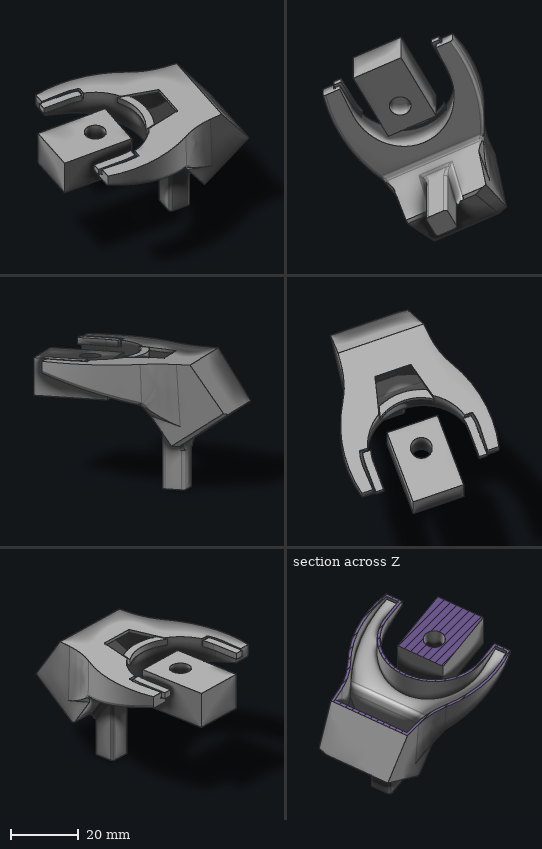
import cadquery as cq
import math

WALL = 1.0
TOO_BIG = 122.1

BACK_TILT = 55.0
TAIL_Y, TAIL_Z = 46.05, -15.1
ARM_END_Y, ARM_END_Z = -8.0, -3.9
BEND_Y, BEND_Z = 21.05, -12.65
BEND_RADIUS = 3.0
CAVITY_BEND_RADIUS = 4.95
TIP_FRONT_Z, TIP_BACK_Y = -25.2, 30.95

DRAFT = 1.5
SIDE_SLOPE = 0.095
STRAIGHT_BACK_HALF_WIDTH = 13.5
ARM_ARC_RADIUS = 40.3
ARM_HALF_WIDTH = 22.6
ARM_WIDEST_Y = 0.9
ARM_ROOT_Y = 30.5
FLARE_RADIUS = 25.05
ARM_EDGE_RADIUS = 1.0
PLAN_MARGIN = 1.95

FLARE_FACET = [(16.55, 21.4, -12.65), (13.25, 32.55, -18.9), (14.2, 23.3, -15.9)]
CAVITY_FACET = [(12.35, 34.55, -10.6), (12.7, 30.35, -12.7), (8.3, 37.8, -13.85)]

BEVEL_START_X = 9.35
BEVEL_WIDTH = 2.75
BEVEL_DEPTH = 0.9

LEG_HALF_WIDTH = 3.51
LEG_FRONT_Y, LEG_BACK_Y = 23.45, 30.6
LEG_BOTTOM_Z = -40.1
LEG_TOP_Z = -18.3
LEG_EDGE_RADIUS = 1.0
LEG_ROOT_RADIUS = 2.0
LEG_BACK_ROUND_TOP_Z = -28.1
ROOT_SLAB = 0.6

BORE_RADIUS = 16.0
PAD_INNER_RADIUS, PAD_OUTER_RADIUS = 15.0, 17.5
PAD_HEIGHT = 2.0
ARM_PAD_FRONT_Y, ARM_PAD_BACK_Y = -9.0, 3.85
ARM_PAD_GAP = 0.85
RECESS_END_HALF_WIDTH = 18.0
WINDOW_BACK_Y, WINDOW_BACK_HALF_WIDTH = 24.9, 5.6
WINDOW_FRONT_Y, WINDOW_FRONT_HALF_WIDTH = 13.8, 8.4
WINDOW_GAP = 0.3

BLOCK_WIDTH, BLOCK_LENGTH, BLOCK_HEIGHT = 15.95, 22.95, 11.4
BLOCK_FRONT_Y, BLOCK_TOP_Z = -15.0, -2.0
BLOCK_HOLE_RADIUS = 3.205

STEEP = math.tan(math.radians(BACK_TILT))
BACK_TOP_Y = TAIL_Y + TAIL_Z / STEEP
PLAN_BACK_Y = TAIL_Y + PLAN_MARGIN
PLAN_FRONT_Y = ARM_END_Y - PLAN_MARGIN


def near(*point):
    return cq.selectors.NearestToPointSelector(point)


def lower_front_z(y):
    """Height of the lower front face."""
    return BEND_Z - STEEP * (y - BEND_Y)


def lower_front_y(z):
    return BEND_Y - (z - BEND_Z) / STEEP


def bottom_z(y):
    """Height of the bottom face, which is square to the back face."""
    return TAIL_Z - (TAIL_Y - y) / STEEP


def straight_half_width(y):
    return STRAIGHT_BACK_HALF_WIDTH - SIDE_SLOPE * (y - BACK_TOP_Y)


def arm_half_width(y):
    center_x = ARM_HALF_WIDTH - ARM_ARC_RADIUS
    return center_x + math.sqrt(ARM_ARC_RADIUS**2 - (y - ARM_WIDEST_Y) ** 2)


def moved_inwards(outline, inset):
    return outline.offset2D(-inset, "intersection") if inset else outline



def profile_prism(inset, bend_radius):
    """Side profile of the fork, extruded along X."""
    points = [
        (ARM_END_Y, 0),
        (BACK_TOP_Y, 0),
        (TAIL_Y, TAIL_Z),
        (TIP_BACK_Y, bottom_z(TIP_BACK_Y)),
        (lower_front_y(TIP_FRONT_Z), TIP_FRONT_Z),
        (BEND_Y, BEND_Z),
        (ARM_END_Y, ARM_END_Z),
    ]
    outline = moved_inwards(cq.Workplane("YZ").polyline(points).close(), inset)
    prism = outline.extrude(TOO_BIG / 2, both=True)
    return prism.edges("|X").edges(near(0, BEND_Y, BEND_Z)).fillet(bend_radius)


def straight_column(inset):
    """Tapered and drafted plan of the rear part, extruded down."""
    back_x = straight_half_width(PLAN_BACK_Y)
    front_x = straight_half_width(ARM_END_Y)
    outline = cq.Workplane("XY").polyline(
        [(back_x, PLAN_BACK_Y), (front_x, ARM_END_Y), (-front_x, ARM_END_Y), (-back_x, PLAN_BACK_Y)]
    ).close()
    return moved_inwards(outline, inset).extrude(LEG_BOTTOM_Z, taper=DRAFT)


def arms_column(inset):
    """Plan of both arms, extruded down."""
    front_x = arm_half_width(PLAN_FRONT_Y)
    root_x = arm_half_width(ARM_ROOT_Y)
    outline = (
        cq.Workplane("XY")
        .moveTo(front_x, PLAN_FRONT_Y)
        .threePointArc((ARM_HALF_WIDTH, ARM_WIDEST_Y), (root_x, ARM_ROOT_Y))
        .lineTo(-root_x, ARM_ROOT_Y)
        .threePointArc((-ARM_HALF_WIDTH, ARM_WIDEST_Y), (-front_x, PLAN_FRONT_Y))
        .close()
    )
    return moved_inwards(outline, inset).extrude(LEG_BOTTOM_Z)


def flared_form(inset, bend_radius):
    """Rear part and arms with the concave rounds between them."""
    form = straight_column(inset).union(arms_column(inset))
    corner_y = (BEND_Y + ARM_ROOT_Y) / 2
    corner_x = straight_half_width(corner_y)
    for side in (1, -1):
        corner = near(side * corner_x, corner_y, LEG_BOTTOM_Z / 2)
        form = form.edges(corner).fillet(FLARE_RADIUS + inset)
    return form.intersect(profile_prism(inset, bend_radius))


def below_facet(corners):
    """Space under a sloped facet and its mirror image, behind the arms."""
    first, second, third = [cq.Vector(*corner) for corner in corners]
    downwards = (second - first).cross(third - first)
    if downwards.z > 0:
        downwards = -downwards
    plane = cq.Plane(origin=first, xDir=second - first, normal=downwards)
    space = cq.Workplane(plane).rect(TOO_BIG, TOO_BIG).extrude(TOO_BIG)
    behind_arm = cq.Workplane("XY", origin=(0, BEND_Y, 0)).box(
        TOO_BIG, TOO_BIG, TOO_BIG, centered=(False, False, True)
    )
    space = space.intersect(behind_arm)
    return space.union(space.mirror("YZ"))


def outer_form():
    form = flared_form(0, BEND_RADIUS)
    mid_arm_z = (ARM_END_Z + BEND_Z) / 2
    for side in (1, -1):
        form = form.edges(near(side * ARM_HALF_WIDTH, 0, mid_arm_z)).fillet(ARM_EDGE_RADIUS)
    straight = straight_column(0).intersect(profile_prism(0, BEND_RADIUS))
    return form.cut(below_facet(FLARE_FACET)).union(straight)



def slot(radius, height):
    """Round-ended slot about the bore axis, open towards -Y, from the top down."""
    return (
        cq.Workplane("XY")
        .moveTo(radius, 0)
        .threePointArc((0, radius), (-radius, 0))
        .lineTo(-radius, -TOO_BIG)
        .lineTo(radius, -TOO_BIG)
        .close()
        .extrude(-height)
    )


def cavity():
    """Hollow inside the fork, leaving a wall all around and along the bore."""
    hollow = flared_form(WALL, CAVITY_BEND_RADIUS).cut(below_facet(CAVITY_FACET))
    return hollow.cut(slot(BORE_RADIUS + WALL, TOO_BIG))


def leg_post():
    """Leg with all four upright edges rounded."""
    length = LEG_BACK_Y - LEG_FRONT_Y
    return (
        cq.Workplane("XY", origin=(0, LEG_FRONT_Y + length / 2, LEG_BOTTOM_Z))
        .rect(2 * LEG_HALF_WIDTH, length)
        .extrude(LEG_TOP_Z - LEG_BOTTOM_Z)
        .edges("|Z")
        .fillet(LEG_EDGE_RADIUS)
    )


def leg_root():
    """Leg, rounded into a slab that lies just inside the lower front face."""
    lower_front = cq.Workplane(
        cq.Plane(origin=(0, BEND_Y, BEND_Z), xDir=(1, 0, 0), normal=(0, STEEP, 1))
    )
    root_half_width = LEG_HALF_WIDTH + LEG_ROOT_RADIUS
    slab = lower_front.rect(4 * root_half_width, TOO_BIG).extrude(ROOT_SLAB)

    raw_length = 24.4
    raw_leg = (
        cq.Workplane("XY", origin=(0, LEG_FRONT_Y + raw_length / 2, LEG_TOP_Z))
        .box(2 * LEG_HALF_WIDTH, raw_length, TOO_BIG)
        .cut(lower_front.rect(TOO_BIG, TOO_BIG).extrude(TOO_BIG))
    )
    middle_y = LEG_FRONT_Y + raw_length / 2
    joint = near(0, LEG_FRONT_Y, lower_front_z(LEG_FRONT_Y))
    for side in (1, -1):
        joint = joint + near(side * LEG_HALF_WIDTH, middle_y, lower_front_z(middle_y))
    root = slab.union(raw_leg).edges(joint).fillet(LEG_ROOT_RADIUS)

    front_y = LEG_FRONT_Y - LEG_ROOT_RADIUS / 2
    room = cq.Workplane("XY", origin=(0, front_y, LEG_BOTTOM_Z)).box(
        2 * root_half_width, LEG_BACK_Y - front_y, TOO_BIG, centered=(True, False, False)
    )
    root = root.intersect(room)
    for side in (1, -1):
        front_edge = near(side * LEG_HALF_WIDTH, LEG_FRONT_Y, LEG_BACK_ROUND_TOP_Z)
        root = root.edges(front_edge).fillet(LEG_EDGE_RADIUS)

    upper_room = cq.Workplane("XY", origin=(0, 0, LEG_BACK_ROUND_TOP_Z)).box(
        TOO_BIG, TOO_BIG, TOO_BIG, centered=(True, True, False)
    )
    return root.intersect(upper_room)


def bottom_bevel():
    """Wedge to remove where the bottom face meets the +X side."""
    section = cq.Plane(origin=(0, TAIL_Y, TAIL_Z), xDir=(1, 0, 0), normal=(0, STEEP, 1))
    far_x = BEVEL_START_X + 2 * BEVEL_WIDTH
    return (
        cq.Workplane(section)
        .polyline([(BEVEL_START_X, 0), (far_x, 0), (far_x, -2 * BEVEL_DEPTH)])
        .close()
        .extrude(TOO_BIG / 2, both=True)
    )


def window(gap):
    """Tapered opening behind the bore, with its sides moved inwards by gap."""
    front = WINDOW_FRONT_HALF_WIDTH - gap
    back = WINDOW_BACK_HALF_WIDTH - gap
    spread = (front - back) / (WINDOW_BACK_Y - WINDOW_FRONT_Y)
    axis = front + spread * WINDOW_FRONT_Y
    outline = [(axis, 0), (back, WINDOW_BACK_Y), (-back, WINDOW_BACK_Y), (-axis, 0)]
    return cq.Workplane("XY").polyline(outline).close().extrude(-PAD_HEIGHT)


def arm_recess(side):
    """Step in the top of one arm; side is 1 for +X and -1 for -X."""
    radius = PAD_OUTER_RADIUS + ARM_PAD_GAP
    back_y = ARM_PAD_BACK_Y + ARM_PAD_GAP
    back_x = math.sqrt(radius**2 - back_y**2)
    mid_x = math.sqrt(radius**2 - (back_y / 2) ** 2)
    return (
        cq.Workplane("XY")
        .moveTo(0, back_y)
        .lineTo(side * back_x, back_y)
        .threePointArc((side * mid_x, back_y / 2), (side * radius, 0))
        .lineTo(side * RECESS_END_HALF_WIDTH, ARM_END_Y)
        .lineTo(0, ARM_END_Y)
        .close()
        .extrude(-PAD_HEIGHT)
    )



def make_fork():
    fork = outer_form().cut(bottom_bevel())
    fork = fork.union(leg_root()).union(leg_post())
    fork = fork.cut(cavity()).cut(slot(BORE_RADIUS, TOO_BIG)).cut(window(0))
    for side in (1, -1):
        fork = fork.cut(arm_recess(side))
    return fork


def pad_strip():
    """U-shaped strip that the three pads are pieces of."""
    return slot(PAD_OUTER_RADIUS, PAD_HEIGHT).cut(slot(PAD_INNER_RADIUS, PAD_HEIGHT))


def make_back_pad():
    return pad_strip().intersect(window(WINDOW_GAP))


def make_arm_pad(side):
    length = ARM_PAD_BACK_Y - ARM_PAD_FRONT_Y
    middle_y = ARM_PAD_FRONT_Y + length / 2
    piece = cq.Workplane("XY", origin=(side * PAD_OUTER_RADIUS, middle_y, 0))
    return pad_strip().intersect(piece.box(PAD_OUTER_RADIUS, length, TOO_BIG))


def make_block():
    middle_y = BLOCK_FRONT_Y + BLOCK_LENGTH / 2
    block = (
        cq.Workplane("XY", origin=(0, middle_y, BLOCK_TOP_Z))
        .rect(BLOCK_WIDTH, BLOCK_LENGTH)
        .extrude(-BLOCK_HEIGHT)
    )
    hole = cq.Workplane("XY").circle(BLOCK_HOLE_RADIUS).extrude(-TOO_BIG)
    return block.cut(hole)


fork = make_fork()
back_pad = make_back_pad()
arm_pads = [make_arm_pad(side).val() for side in (1, -1)]
block = make_block()

result = cq.Compound.makeCompound([fork.val(), back_pad.val(), *arm_pads, block.val()])